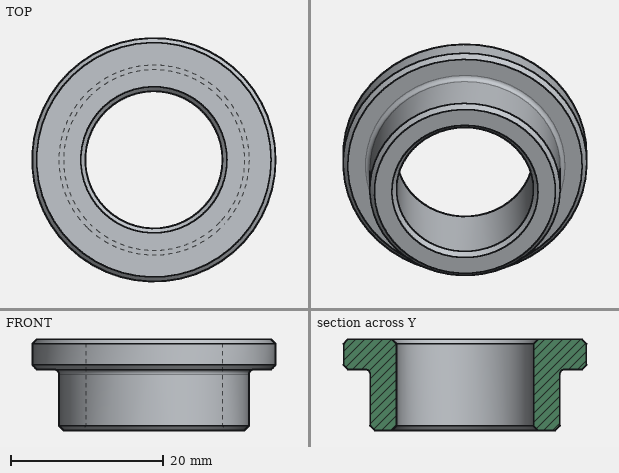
import cadquery as cq

flange_diameter = 32
sleeve_diameter = 25.0
bore_diameter = 18.0
total_height = 12.0
flange_thickness = 4.0
edge_break = 0.6
neck_fillet = 0.6

flange_radius = flange_diameter / 2
sleeve_radius = sleeve_diameter / 2
bore_radius = bore_diameter / 2
flange_bottom = total_height - flange_thickness

section = (
    cq.Workplane("XZ")
    .moveTo(bore_radius, edge_break)
    .lineTo(bore_radius + edge_break, 0)
    .lineTo(sleeve_radius - edge_break, 0)
    .lineTo(sleeve_radius, edge_break)
    .lineTo(sleeve_radius, flange_bottom - neck_fillet)
    .radiusArc((sleeve_radius + neck_fillet, flange_bottom), neck_fillet)
    .lineTo(flange_radius - edge_break, flange_bottom)
    .lineTo(flange_radius, flange_bottom + edge_break)
    .lineTo(flange_radius, total_height - edge_break)
    .lineTo(flange_radius - edge_break, total_height)
    .lineTo(bore_radius + edge_break, total_height)
    .lineTo(bore_radius, total_height - edge_break)
    .close()
)

result = section.revolve(360, (0, 0, 0), (0, 1, 0))